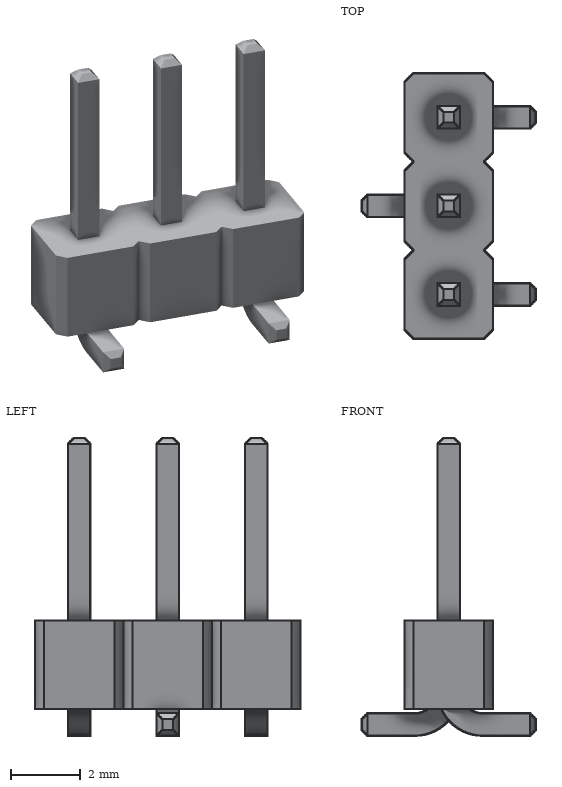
import cadquery as cq

pin_count = 3
housing_length = 7.62
pitch = housing_length / pin_count
corner_chamfer = 0.26
standoff = 0.77

overall_width = 5.0
overall_height = 8.54
pin_size = 0.65
tip_chamfer = 0.17
inner_radius = pin_size
outer_radius = inner_radius + pin_size
bend_end = inner_radius + pin_size / 2
foot_reach = overall_width / 2


def housing_cell(y):
    return (
        cq.Workplane("XY", origin=(0, y, standoff))
        .rect(pitch, pitch)
        .extrude(pitch)
        .edges("|Z")
        .chamfer(corner_chamfer)
    )


def post(y):
    return (
        cq.Workplane("XY", origin=(0, y, outer_radius))
        .rect(pin_size, pin_size)
        .extrude(overall_height - outer_radius)
        .faces(">Z")
        .chamfer(tip_chamfer)
    )


def foot(y, side):
    """Foot along +X (side = 1) or -X (side = -1), curving up into the housing."""
    bar = (
        cq.Workplane("XY")
        .box(foot_reach - bend_end, pin_size, pin_size, centered=(False, True, False))
        .translate((bend_end, 0, 0))
        .faces(">X")
        .chamfer(tip_chamfer)
    )
    bend = (
        cq.Workplane("XZ", origin=(bend_end, 0, 0))
        .moveTo(0, 0)
        .lineTo(0, pin_size)
        .radiusArc((-inner_radius, outer_radius), inner_radius)
        .lineTo(-outer_radius, outer_radius)
        .radiusArc((0, 0), -outer_radius)
        .close()
        .extrude(pin_size / 2, both=True)
    )
    turn = 0 if side > 0 else 180
    return bar.union(bend).rotate((0, 0, 0), (0, 0, 1), turn).translate((0, y, 0))


pin_positions = [(i - (pin_count - 1) / 2) * pitch for i in range(pin_count)]

housing = housing_cell(pin_positions[0])
for y in pin_positions[1:]:
    housing = housing.union(housing_cell(y))

result = housing
for i, y in enumerate(pin_positions):
    foot_side = 1 if i % 2 == 0 else -1
    result = result.union(post(y)).union(foot(y, foot_side))